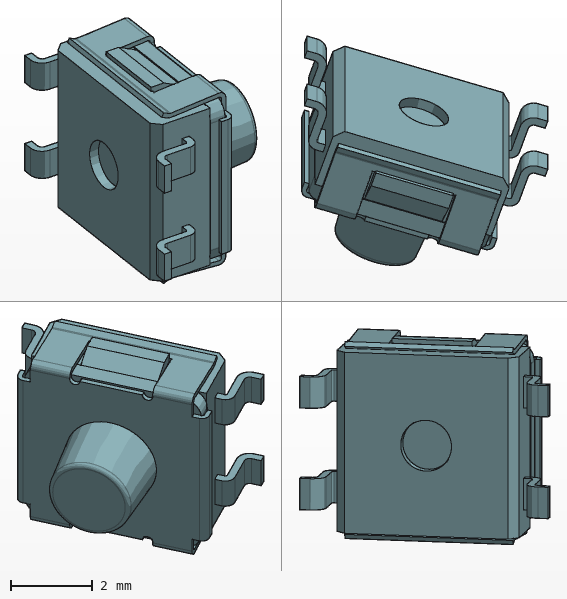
import cadquery as cq
import math

DIAGONAL = math.sqrt(0.5)


body_half_width = 2.27
body_half_height = 2.25
body_front = 0.27
body_chamfer = 0.23
shoulder_y = 1.885
collar_half = 2.29
collar_top = 2.32
collar_corner_radius = 0.465
hole_radius = 0.63
hole_depth = 0.26

button_tip = 4.11
button_base_radius = 1.17
button_tip_radius = 1.05
button_fillet = 0.12

sheet = 0.125
cover_top = 2.46
cover_bottom = cover_top - sheet
bend_radius = 0.19
inner_bend_radius = bend_radius - sheet
flange_x = 2.48
flange_half_length = 1.905
flange_tip_y = 2.085
flap_z = 2.47
flap_half_width = 2.095
flap_lean = 4.0
kink_start_y = 0.845
kink_radius = 0.075
lip_flare = 24.0
lip_length = 0.185

window_half_width = 1.07
window_front = 1.035
window_inner_z = body_half_height
relief_radius = 0.13
relief_x = window_half_width - relief_radius

latch_half_width = 1.0
latch_front = 1.0
latch_crest_y = 1.37
latch_z = 2.5

leg_sheet = 0.205
leg_z = 1.265
leg_width = 0.78
foot_tip_x = 3.1
foot_bend_x = 2.845
leg_outer_x = 2.71
leg_inner_x = leg_outer_x - leg_sheet
foot_outer_radius = foot_bend_x - leg_inner_x
foot_inner_radius = foot_bend_x - leg_outer_x
leg_top_y = 1.27
leg_outer_radius = 0.255
leg_inner_radius = leg_outer_radius - leg_sheet


def block(x_half, y_low, y_high, z_low, z_high):
    """Box centred on x = 0 between the given Y and Z limits."""
    return cq.Workplane("XY").box(
        2 * x_half, y_high - y_low, z_high - z_low, centered=(True, False, False)
    ).translate((0, y_low, z_low))


def y_cylinder(radius, y_low, y_high, x=0, z=0):
    """Cylinder along Y."""
    axis_start = cq.Vector(x, y_low, z)
    return cq.Workplane(cq.Solid.makeCylinder(radius, y_high - y_low, axis_start, cq.Vector(0, 1, 0)))


def polar_point(centre, radius, angle):
    """(Y, Z) point at the given distance from centre, turned from +Z towards +Y."""
    return centre[0] + radius * math.sin(angle), centre[1] + radius * math.cos(angle)


def with_mirror(shape, plane):
    """The shape together with its mirror image."""
    return shape.union(shape.mirror(plane))


def housing():
    base = block(body_half_width, body_front, shoulder_y, -body_half_height, body_half_height)
    base = base.faces("<Y").edges("|Z").chamfer(body_chamfer)
    collar = block(collar_half, shoulder_y, collar_top, -collar_half, collar_half)
    collar = collar.edges("|Y").fillet(collar_corner_radius)
    hole = y_cylinder(hole_radius, body_front, body_front + hole_depth)
    return base.union(collar).cut(hole)


def latch():
    """Wedge on the +Z side of the housing."""
    return (
        cq.Workplane("YZ")
        .moveTo(latch_front, body_half_height)
        .lineTo(latch_front, latch_z)
        .lineTo(latch_crest_y, latch_z)
        .lineTo(shoulder_y, body_half_height)
        .close()
        .extrude(latch_half_width, both=True)
    )


def button():
    """Tapered button, standing on the collar and passing through the cover."""
    frustum = (
        cq.Workplane("XY")
        .moveTo(0, collar_top)
        .lineTo(button_base_radius, collar_top)
        .lineTo(button_base_radius, cover_top)
        .lineTo(button_tip_radius, button_tip)
        .lineTo(0, button_tip)
        .close()
        .revolve(360, (0, 0, 0), (0, 1, 0))
    )
    return frustum.faces(">Y").edges().fillet(button_fillet)


def side_flange():
    """Half of the cover plate on +X with its short bent-down edge."""
    bend_x = flange_x - bend_radius
    bend_y = cover_top - bend_radius

    def bend_middle(radius):
        return bend_x + radius * DIAGONAL, bend_y + radius * DIAGONAL

    return (
        cq.Workplane("XY")
        .moveTo(0, cover_top)
        .lineTo(bend_x, cover_top)
        .threePointArc(bend_middle(bend_radius), (flange_x, bend_y))
        .lineTo(flange_x, flange_tip_y)
        .lineTo(flange_x - sheet, flange_tip_y)
        .lineTo(flange_x - sheet, bend_y)
        .threePointArc(bend_middle(inner_bend_radius), (bend_x, cover_bottom))
        .lineTo(0, cover_bottom)
        .close()
        .extrude(flange_half_length, both=True)
    )


def end_flap():
    """Half of the cover plate on +Z with its long, inward-leaning, windowed flap and flared lip."""
    bend_centre = (cover_top - bend_radius, flap_z - bend_radius)

    lean = math.radians(flap_lean)
    flare = math.radians(lip_flare)
    mid_bend = (math.pi / 2 - lean) / 2
    mid_kink = (flare - lean) / 2

    def bend(radius, angle):
        return polar_point(bend_centre, radius, angle)

    flap_start = bend(bend_radius, -lean)
    kink_start_z = flap_start[1] - (flap_start[0] - kink_start_y) * math.tan(lean)
    kink_centre = polar_point((kink_start_y, kink_start_z), kink_radius, -lean)

    def kink(radius, angle):
        return polar_point(kink_centre, -radius, angle)

    kink_end = kink(kink_radius, flare)
    outer_tip = (kink_end[0] - lip_length * math.cos(flare), kink_end[1] + lip_length * math.sin(flare))
    inner_tip = polar_point(outer_tip, -sheet, flare)
    inner_kink_radius = kink_radius + sheet
    return (
        cq.Workplane("YZ")
        .moveTo(cover_top, 0)
        .lineTo(cover_top, bend_centre[1])
        .threePointArc(bend(bend_radius, mid_bend), flap_start)
        .lineTo(kink_start_y, kink_start_z)
        .threePointArc(kink(kink_radius, mid_kink), kink_end)
        .lineTo(*outer_tip)
        .lineTo(*inner_tip)
        .lineTo(*kink(inner_kink_radius, flare))
        .threePointArc(kink(inner_kink_radius, mid_kink), kink(inner_kink_radius, -lean))
        .lineTo(*bend(inner_bend_radius, -lean))
        .threePointArc(bend(inner_bend_radius, mid_bend), (cover_bottom, bend_centre[1]))
        .lineTo(cover_bottom, 0)
        .close()
        .extrude(flap_half_width, both=True)
        .cut(flap_window())
    )


def flap_window():
    """Opening through the +Z flap, running over the bend into the plate."""
    window = block(window_half_width, window_front, cover_top, window_inner_z, latch_z)
    for x in (-relief_x, relief_x):
        window = window.union(y_cylinder(relief_radius, cover_bottom, cover_top, x, window_inner_z))
    return window


def leg():
    """Leg on the +X, +Z side, from the housing wall to the foot."""
    top_bend_x = leg_outer_x - leg_outer_radius
    top_bend_y = leg_top_y - leg_outer_radius

    def top_bend(radius):
        return top_bend_x + radius * DIAGONAL, top_bend_y + radius * DIAGONAL

    def foot_bend(radius):
        return foot_bend_x - radius * DIAGONAL, foot_outer_radius - radius * DIAGONAL

    return (
        cq.Workplane("XY")
        .moveTo(body_half_width, leg_top_y)
        .lineTo(top_bend_x, leg_top_y)
        .threePointArc(top_bend(leg_outer_radius), (leg_outer_x, top_bend_y))
        .lineTo(leg_outer_x, foot_outer_radius)
        .threePointArc(foot_bend(foot_inner_radius), (foot_bend_x, leg_sheet))
        .lineTo(foot_tip_x, leg_sheet)
        .lineTo(foot_tip_x, 0)
        .lineTo(foot_bend_x, 0)
        .threePointArc(foot_bend(foot_outer_radius), (leg_inner_x, foot_outer_radius))
        .lineTo(leg_inner_x, top_bend_y)
        .threePointArc(top_bend(leg_inner_radius), (top_bend_x, leg_top_y - leg_sheet))
        .lineTo(body_half_width, leg_top_y - leg_sheet)
        .close()
        .extrude(leg_width / 2, both=True)
        .translate((0, 0, leg_z))
    )


cover = with_mirror(side_flange(), "YZ").union(with_mirror(end_flap(), "XY"))
legs = with_mirror(with_mirror(leg(), "YZ"), "XY")
latches = with_mirror(latch(), "XY")

result = housing().union(latches).union(cover).union(button()).union(legs)